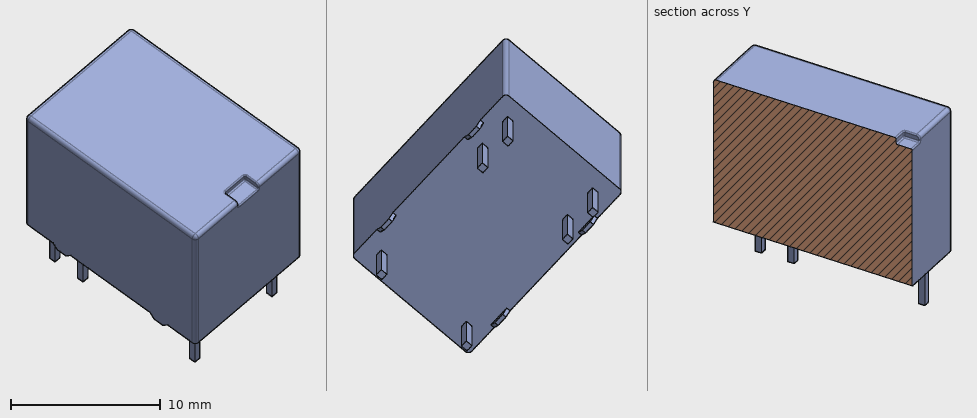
import cadquery as cq

LENGTH = 15.5
WIDTH = 10.5
HEIGHT = 11.4
EDGE_RADIUS = 0.3

FOOT_HEIGHT = 0.4
FOOT_BOTTOM_WIDTH = 0.8
FOOT_TOP_WIDTH = FOOT_BOTTOM_WIDTH + 2 * FOOT_HEIGHT
FOOT_THICKNESS = EDGE_RADIUS
FOOT_OFFSET = 4.4

GRID = 2.54
PIN_SIZE = 0.5
PIN_LENGTH = 3.9
PIN_END_X = 5 * GRID / 2
PIN_INNER_X = -PIN_END_X + GRID
PIN_Y = 3 * GRID / 2
PIN_COLUMNS = (-PIN_END_X, PIN_INNER_X, PIN_END_X)

NOTCH_LENGTH = 1.25
NOTCH_WIDTH = 2.0
NOTCH_DEPTH = 0.5
NOTCH_RADIUS = 0.1


def make_housing():
    """Block with rounded vertical and top edges and a sharp underside."""
    block = cq.Workplane("XY").box(LENGTH, WIDTH, HEIGHT, centered=(True, True, False))
    return block.edges("|Z or >Z").fillet(EDGE_RADIUS)


def cut_notch(housing):
    """Cut the end notch with rounded inner corners and floor, then round its rim all the way round."""
    inner_x = LENGTH / 2 - NOTCH_LENGTH
    floor_z = HEIGHT - NOTCH_DEPTH
    cutter = (
        cq.Workplane("XY", origin=(inner_x, 0, floor_z))
        .box(2 * NOTCH_LENGTH, NOTCH_WIDTH, 2 * NOTCH_DEPTH, centered=(False, True, False))
        .edges("(<X or (<Z and |X)) and (not >Z)")
        .fillet(NOTCH_RADIUS)
    )
    notched = housing.cut(cutter)
    rim = cq.selectors.BoxSelector(
        (inner_x - NOTCH_RADIUS, -NOTCH_WIDTH / 2 - NOTCH_RADIUS, HEIGHT - NOTCH_RADIUS),
        (LENGTH / 2 - EDGE_RADIUS, NOTCH_WIDTH / 2 + NOTCH_RADIUS, HEIGHT + NOTCH_RADIUS),
        boundingbox=True,
    )
    return notched.edges(rim).fillet(NOTCH_RADIUS)


def make_foot(x, side):
    """Tapered foot under the long side face on the given side (+1 or -1) of Y."""
    outline = [
        (x - FOOT_TOP_WIDTH / 2, 0),
        (x - FOOT_BOTTOM_WIDTH / 2, -FOOT_HEIGHT),
        (x + FOOT_BOTTOM_WIDTH / 2, -FOOT_HEIGHT),
        (x + FOOT_TOP_WIDTH / 2, 0),
    ]
    outer_face = cq.Workplane("XZ", origin=(0, side * WIDTH / 2, 0))
    return outer_face.polyline(outline).close().extrude(side * FOOT_THICKNESS)


def make_pin(x, y):
    """Straight square pin hanging from the underside."""
    return cq.Workplane("XY").center(x, y).rect(PIN_SIZE, PIN_SIZE).extrude(-PIN_LENGTH)


result = cut_notch(make_housing())
for side in (-1, 1):
    for foot_x in (-FOOT_OFFSET, FOOT_OFFSET):
        result = result.union(make_foot(foot_x, side))
    for pin_x in PIN_COLUMNS:
        result = result.union(make_pin(pin_x, side * PIN_Y))